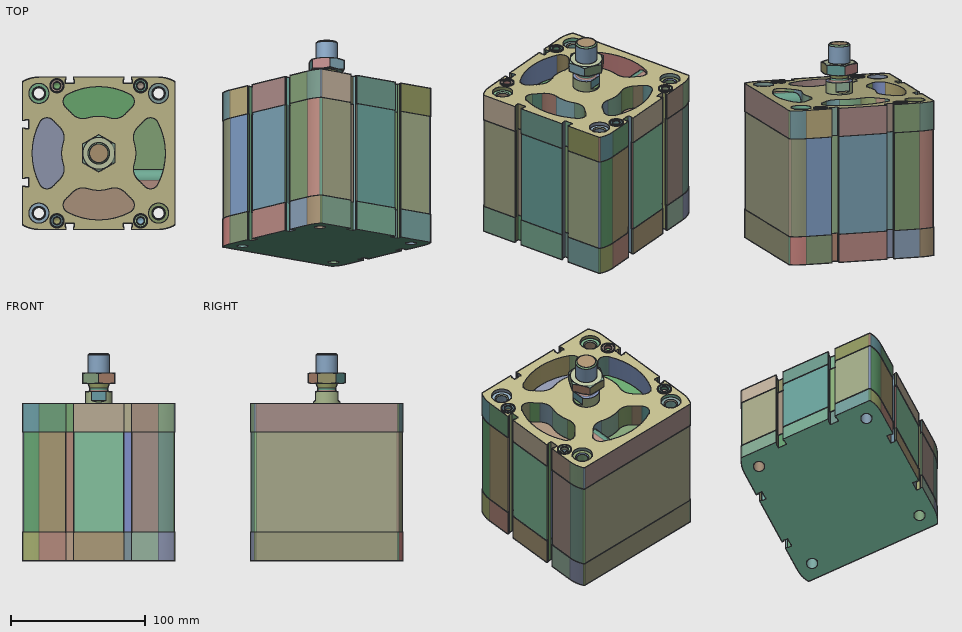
import cadquery as cq
import math

TOTAL_HEIGHT = 154.0
HOUSING_HEIGHT = 117.0
CAP_HEIGHT = 21.4

CAP_WIDTH = 113.5
BARREL_INSET = 0.3
CORNER_ARC_RADIUS = 25.0
CORNER_ARC_START = 44.4
CAP_CORNER_FILLET = 1.4
BARREL_CORNER_FILLET = 1.8

SLOT_OFFSET = 21.5
CAP_NECK_WIDTH = 5.5
BARREL_NECK_WIDTH = 5.9
SLOT_WIDTH = 6.6
SLOT_LIP = 1.7
CAP_SLOT_DEPTH = 5.0
BARREL_SLOT_DEPTH = 4.3

POCKET_DEPTH = 19.0
POCKET_OUTER_RADIUS = 49.6
POCKET_INNER_RADIUS = 27.5
POCKET_FLANK_OFFSET = 9.5
POCKET_OUTER_FILLET = 6.0
POCKET_INNER_FILLET = 11.0

BOSS_DIAMETER = 16.0
BOSS_Y = -20.2
BOSS_TOP_DEPTH = 2.2

MOUNT_OFFSET = 44.5
MOUNT_HOLE_DIAMETER = 8.3
MOUNT_CHAMFER_DIAMETER = 10.0
MOUNT_BORE_DIAMETER = 15.0
MOUNT_BORE_DEPTH = 2.8

BOLT_X = 31.1
BOLT_Y = 50.2
BOLT_HEAD_DIAMETER = 10.6
BOLT_RIM_DIAMETER = 10.0
BOLT_FACE_DIAMETER = 9.0
BOLT_MOUTH_DIAMETER = 6.2
BOLT_SOCKET_DIAMETER = 5.2
BOLT_SOCKET_DEPTH = 3.1
BOLT_CONE_HEIGHT = 1.0

ROD_DIAMETER = 20.0
ROD_SHOULDER_Z = 125.8
ROD_FLATS_WIDTH = 17.0
ROD_FLATS_Z = 119.2
FLATS_RUNOUT_DROP = 1.1
THREAD_DIAMETER = 16.0
THREAD_CHAMFER = 1.1
NECK_DIAMETER = 13.5
NECK_TOP_Z = 128.5
NECK_FILLET = 1.1

NUT_WIDTH = 24.0
NUT_HEIGHT = 8.0
NUT_BOTTOM_Z = 131.8
NUT_FACE_DIAMETER = 23.7
NUT_CHAMFER_ANGLE = 18.0


def housing_section(half_width, corner_fillet, base_z, height):
    """Square block whose corners are a large arc ending in a small fillet."""
    arc_centre_y = half_width - CORNER_ARC_RADIUS
    run = half_width - CORNER_ARC_START
    corner_y = arc_centre_y + math.sqrt(CORNER_ARC_RADIUS**2 - run**2)
    half_angle = math.asin(run / CORNER_ARC_RADIUS) / 2
    mid_x = CORNER_ARC_START + CORNER_ARC_RADIUS * math.sin(half_angle)
    mid_y = arc_centre_y + CORNER_ARC_RADIUS * math.cos(half_angle)
    block = (
        cq.Workplane("XY", origin=(0, 0, base_z))
        .moveTo(half_width, -corner_y)
        .lineTo(half_width, corner_y)
        .threePointArc((mid_x, mid_y), (CORNER_ARC_START, half_width))
        .lineTo(-CORNER_ARC_START, half_width)
        .threePointArc((-mid_x, mid_y), (-half_width, corner_y))
        .lineTo(-half_width, -corner_y)
        .threePointArc((-mid_x, -mid_y), (-CORNER_ARC_START, -half_width))
        .lineTo(CORNER_ARC_START, -half_width)
        .threePointArc((mid_x, -mid_y), (half_width, -corner_y))
        .close()
        .extrude(height)
    )
    return block.edges("|Z and (<X or >X)").fillet(corner_fillet)


def cut_slots(body, face_distance, depth, neck_width):
    """Cut two T-slots along the full height of the -Y, -X and +Y faces."""
    wide_depth = depth - SLOT_LIP
    for angle in (0, -90, 180):
        for x in (-SLOT_OFFSET, SLOT_OFFSET):
            neck = (
                cq.Workplane("XY", origin=(x, -face_distance, 0))
                .box(neck_width, depth, HOUSING_HEIGHT, centered=(True, False, False))
            )
            wide = (
                cq.Workplane("XY", origin=(x, SLOT_LIP - face_distance, 0))
                .box(SLOT_WIDTH, wide_depth, HOUSING_HEIGHT, centered=(True, False, False))
            )
            body = body.cut(neck.union(wide).rotate((0, 0, 0), (0, 0, 1), angle))
    return body


def flank_point(radius):
    """Where the upper 45-degree flank of the +X pocket crosses a circle about the Z axis."""
    y = (math.sqrt(2 * radius**2 - POCKET_FLANK_OFFSET**2) - POCKET_FLANK_OFFSET) / 2
    return y + POCKET_FLANK_OFFSET, y


def pocket():
    """Tool for the +X pocket: part of a ring between two 45-degree flanks."""
    inner_x, inner_y = flank_point(POCKET_INNER_RADIUS)
    outer_x, outer_y = flank_point(POCKET_OUTER_RADIUS)
    ring_part = (
        cq.Workplane("XY", origin=(0, 0, HOUSING_HEIGHT - POCKET_DEPTH))
        .moveTo(inner_x, inner_y)
        .threePointArc((POCKET_INNER_RADIUS, 0), (inner_x, -inner_y))
        .lineTo(outer_x, -outer_y)
        .threePointArc((POCKET_OUTER_RADIUS, 0), (outer_x, outer_y))
        .close()
        .extrude(POCKET_DEPTH)
    )
    rounded_inside = ring_part.edges("|Z and <X").fillet(POCKET_INNER_FILLET)
    return rounded_inside.edges("|Z and (<Y or >Y)").fillet(POCKET_OUTER_FILLET)


def port_boss():
    """Boss along X with a round +Y side and a flat top that runs to the -Y end of the pocket."""
    floor_z = HOUSING_HEIGHT - POCKET_DEPTH
    top_z = HOUSING_HEIGHT - BOSS_TOP_DEPTH
    radius = BOSS_DIAMETER / 2
    length = CAP_WIDTH / 2
    return (
        cq.Workplane("YZ")
        .moveTo(-length, floor_z)
        .lineTo(-length, top_z)
        .lineTo(BOSS_Y, top_z)
        .threePointArc((BOSS_Y + radius, top_z - radius), (BOSS_Y, top_z - BOSS_DIAMETER))
        .lineTo(BOSS_Y, floor_z)
        .close()
        .extrude(length)
    )


def turned(points):
    """Solid of revolution about Z from (radius, z) points."""
    return cq.Workplane("XZ").polyline(points).close().revolve(360, (0, 0), (0, 1))


def mounting_hole():
    """Through hole with a counterbore and a chamfered mouth."""
    hole_r = MOUNT_HOLE_DIAMETER / 2
    chamfer_r = MOUNT_CHAMFER_DIAMETER / 2
    bore_r = MOUNT_BORE_DIAMETER / 2
    bore_z = HOUSING_HEIGHT - MOUNT_BORE_DEPTH
    return turned([
        (0, 0),
        (hole_r, 0),
        (hole_r, bore_z - (chamfer_r - hole_r)),
        (chamfer_r, bore_z),
        (bore_r, bore_z),
        (bore_r, HOUSING_HEIGHT),
        (0, HOUSING_HEIGHT),
    ])


def bolt_head_recess():
    """Groove around a flush, chamfered bolt head, and the socket with a conical bottom inside it."""
    head_r = BOLT_HEAD_DIAMETER / 2
    rim_r = BOLT_RIM_DIAMETER / 2
    face_r = BOLT_FACE_DIAMETER / 2
    groove_z = HOUSING_HEIGHT - (rim_r - face_r)
    groove = turned([
        (face_r, HOUSING_HEIGHT),
        (rim_r, groove_z),
        (head_r, groove_z),
        (head_r, HOUSING_HEIGHT),
    ])
    mouth_r = BOLT_MOUTH_DIAMETER / 2
    socket_r = BOLT_SOCKET_DIAMETER / 2
    socket_z = HOUSING_HEIGHT - BOLT_SOCKET_DEPTH
    socket = turned([
        (0, HOUSING_HEIGHT),
        (mouth_r, HOUSING_HEIGHT),
        (socket_r, HOUSING_HEIGHT - (mouth_r - socket_r)),
        (socket_r, socket_z),
        (0, socket_z - BOLT_CONE_HEIGHT),
    ])
    return groove, socket


def make_housing():
    barrel_height = HOUSING_HEIGHT - 2 * CAP_HEIGHT
    cap_half = CAP_WIDTH / 2
    barrel_half = cap_half - BARREL_INSET
    barrel = housing_section(barrel_half, BARREL_CORNER_FILLET, CAP_HEIGHT, barrel_height)
    body = cut_slots(barrel, barrel_half, BARREL_SLOT_DEPTH, BARREL_NECK_WIDTH)
    for cap_z in (0, HOUSING_HEIGHT - CAP_HEIGHT):
        cap = housing_section(cap_half, CAP_CORNER_FILLET, cap_z, CAP_HEIGHT)
        body = body.union(cut_slots(cap, cap_half, CAP_SLOT_DEPTH, CAP_NECK_WIDTH))

    pocket_tool = pocket()
    body = body.cut(pocket_tool.cut(port_boss()))
    for angle in (90, 180, 270):
        body = body.cut(pocket_tool.rotate((0, 0, 0), (0, 0, 1), angle))

    for side_x in (-1, 1):
        for side_y in (-1, 1):
            body = body.cut(mounting_hole().translate((side_x * MOUNT_OFFSET, side_y * MOUNT_OFFSET, 0)))
            for tool in bolt_head_recess():
                body = body.cut(tool.translate((side_x * BOLT_X, side_y * BOLT_Y, 0)))

    rod_bore = (
        cq.Workplane("XY", origin=(0, 0, HOUSING_HEIGHT - CAP_HEIGHT))
        .circle(ROD_DIAMETER / 2)
        .extrude(CAP_HEIGHT)
    )
    return body.cut(rod_bore)


def make_rod():
    rod_r = ROD_DIAMETER / 2
    neck_r = NECK_DIAMETER / 2
    thread_r = THREAD_DIAMETER / 2
    bottom_z = HOUSING_HEIGHT - CAP_HEIGHT
    fillet_mid = NECK_FILLET * (1 - math.sqrt(0.5))
    rod = (
        cq.Workplane("XZ")
        .moveTo(0, bottom_z)
        .lineTo(rod_r, bottom_z)
        .lineTo(rod_r, ROD_SHOULDER_Z)
        .lineTo(neck_r + NECK_FILLET, ROD_SHOULDER_Z)
        .threePointArc(
            (neck_r + fillet_mid, ROD_SHOULDER_Z + fillet_mid),
            (neck_r, ROD_SHOULDER_Z + NECK_FILLET),
        )
        .lineTo(neck_r, NECK_TOP_Z)
        .lineTo(thread_r, NUT_BOTTOM_Z)
        .lineTo(thread_r, TOTAL_HEIGHT - THREAD_CHAMFER)
        .lineTo(thread_r - THREAD_CHAMFER, TOTAL_HEIGHT)
        .lineTo(0, TOTAL_HEIGHT)
        .close()
        .revolve(360, (0, 0), (0, 1))
    )
    flat_y = ROD_FLATS_WIDTH / 2
    for side in (-1, 1):
        flat = (
            cq.Workplane("YZ", origin=(-rod_r, 0, 0))
            .moveTo(side * flat_y, ROD_FLATS_Z)
            .lineTo(side * flat_y, ROD_SHOULDER_Z)
            .lineTo(side * rod_r, ROD_SHOULDER_Z)
            .lineTo(side * rod_r, ROD_FLATS_Z - FLATS_RUNOUT_DROP)
            .close()
            .extrude(ROD_DIAMETER)
        )
        rod = rod.cut(flat)
    return rod


def make_nut():
    corner_r = NUT_WIDTH / math.sqrt(3)
    face_r = NUT_FACE_DIAMETER / 2
    drop = (corner_r - face_r) * math.tan(math.radians(NUT_CHAMFER_ANGLE))
    top_z = NUT_BOTTOM_Z + NUT_HEIGHT
    hexagon = (
        cq.Workplane("XY", origin=(0, 0, NUT_BOTTOM_Z))
        .polygon(6, 2 * corner_r)
        .extrude(NUT_HEIGHT)
        .rotate((0, 0, 0), (0, 0, 1), 30)
    )
    chamfer_envelope = turned([
        (0, NUT_BOTTOM_Z),
        (face_r, NUT_BOTTOM_Z),
        (corner_r, NUT_BOTTOM_Z + drop),
        (corner_r, top_z - drop),
        (face_r, top_z),
        (0, top_z),
    ])
    thread_bore = (
        cq.Workplane("XY", origin=(0, 0, NUT_BOTTOM_Z))
        .circle(THREAD_DIAMETER / 2)
        .extrude(NUT_HEIGHT)
    )
    return hexagon.intersect(chamfer_envelope).cut(thread_bore)


housing = make_housing()
rod = make_rod()
nut = make_nut()
result = cq.Compound.makeCompound([housing.val(), rod.val(), nut.val()])